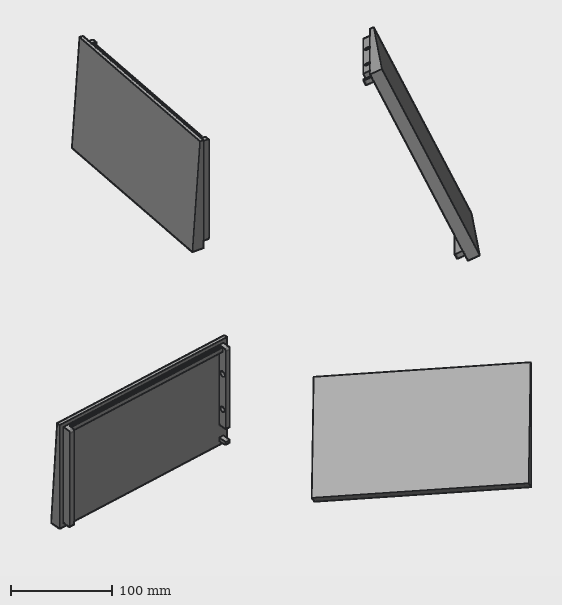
import cadquery as cq

plate_width = 219.2
plate_height = 129.0
plate_bottom_depth = 13.2
plate_top_depth = 4.2

total_depth = 23.0
wall_inset = 4.8
wall_thickness = 5.5
wall_corner_radius = 2.0
wall_depth = total_depth - plate_bottom_depth
wall_outer_x = plate_width / 2 - wall_inset
wall_inner_x = wall_outer_x - wall_thickness
wall_bottom_z = wall_inset
wall_top_z = plate_height - wall_inset
wall_height = wall_top_z - wall_bottom_z

top_wall_depth = 5.3
bead_width = 2.0
bead_height = 1.5
bead_end_radius = 1.3
bead_setback = 0.2
bead_end_gap = 0.5
bead_length = 2 * (wall_inner_x - bead_end_gap)

hole_diameter = 6.1
hole_heights = (47.1, 91.0)
hole_y = plate_bottom_depth + wall_depth / 2
notch_bottom_z = 9.2
notch_top_z = 25.2


def make_plate():
    """Plate with an upright back face and a front face leaning back."""
    profile = [
        (0, 0),
        (plate_bottom_depth, 0),
        (plate_bottom_depth, plate_height),
        (plate_bottom_depth - plate_top_depth, plate_height),
    ]
    return cq.Workplane("YZ").polyline(profile).close().extrude(plate_width / 2, both=True)


def make_side_wall(start_x):
    """Upright wall with its two rear corners rounded."""
    wall = cq.Workplane("XY").box(wall_thickness, wall_depth, wall_height, centered=False)
    wall = wall.faces(">Y").edges("|X").fillet(wall_corner_radius)
    return wall.translate((start_x, plate_bottom_depth, wall_bottom_z))


def make_top_wall():
    """Wall along the top, between the side walls."""
    wall = cq.Workplane("XY").box(2 * wall_inner_x, top_wall_depth, wall_thickness, centered=False)
    return wall.translate((-wall_inner_x, plate_bottom_depth, wall_top_z - wall_thickness))


def make_bead():
    """Straight bar on the top wall with both ends rounded down towards the wall."""
    bead = cq.Workplane("XY").box(bead_length, bead_width, bead_height, centered=(True, False, False))
    bead = bead.edges("|Y and >Z").fillet(bead_end_radius)
    bead_start_y = plate_bottom_depth + top_wall_depth - bead_setback - bead_width
    return bead.translate((0, bead_start_y, wall_top_z))


def cut_left_wall_openings(body):
    """Two round holes and a cable notch through the left wall only."""
    for hole_z in hole_heights:
        hole = cq.Workplane("YZ", origin=(-wall_outer_x, hole_y, hole_z))
        body = body.cut(hole.circle(hole_diameter / 2).extrude(wall_thickness))
    notch_height = notch_top_z - notch_bottom_z
    notch = cq.Workplane("XY").box(wall_thickness, wall_depth, notch_height, centered=False)
    return body.cut(notch.translate((-wall_outer_x, plate_bottom_depth, notch_bottom_z)))


body = make_plate()
for wall_start_x in (-wall_outer_x, wall_inner_x):
    body = body.union(make_side_wall(wall_start_x))
body = body.union(make_top_wall()).union(make_bead())
result = cut_left_wall_openings(body)